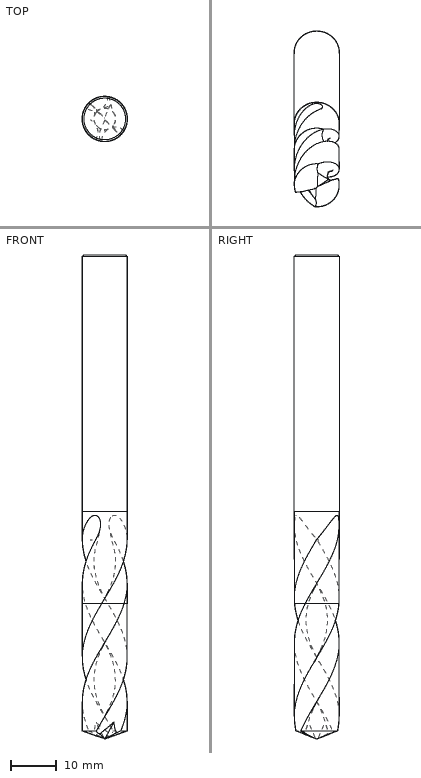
import cadquery as cq
import math

total_length = 106.0
shank_diameter = 10.0
shank_radius = shank_diameter / 2
shank_chamfer = 0.4
shank_end_z = 49.8

drill_diameter = 9.9
drill_radius = drill_diameter / 2
joint_z = 29.7
point_angle = 140.0
point_height = drill_radius / math.tan(math.radians(point_angle / 2))

flute_count = 2
flute_pitch = 51.7
flute_offset = 5.3
flute_radius = 3.0
crossing_z = 13.0
helix_end_z = 43.6
runout_end_z = 49.0
runout_turn = 32.0
start_angle = -360 * crossing_z / flute_pitch

gash_apex = cq.Vector(0, -0.2, 0)
gash_valley = cq.Vector(2.0, -1.6, 3.7)
gash_left_edge = cq.Vector(-1.8, -4.3, 1.8)
gash_right_edge = cq.Vector(3.3, -3.3, 1.8)
gash_underside = cq.Vector(0.7, -4.2, 0)
gash_reach = 1.5


def make_shank():
    """Plain shank with a chamfered top, and the neck below it."""
    neck = (
        cq.Workplane("XY", origin=(0, 0, joint_z))
        .circle(drill_radius)
        .extrude(shank_end_z - joint_z)
    )
    grip = (
        cq.Workplane("XY", origin=(0, 0, shank_end_z))
        .circle(shank_radius)
        .extrude(total_length - shank_end_z)
        .faces(">Z")
        .chamfer(shank_chamfer)
    )
    return neck.union(grip)


def make_head():
    """Cylinder ending in a conical point at the origin."""
    return (
        cq.Workplane("XZ")
        .polyline([(0, 0), (drill_radius, point_height), (drill_radius, joint_z), (0, joint_z)])
        .close()
        .revolve(360, (0, 0, 0), (0, 1, 0))
    )


def make_helix_cutter():
    """Round section, twisted about the drill axis as it rises."""
    return (
        cq.Workplane("XY")
        .moveTo(flute_offset, 0)
        .circle(flute_radius)
        .twistExtrude(helix_end_z, 360 * helix_end_z / flute_pitch)
        .rotate((0, 0, 0), (0, 0, 1), start_angle)
    )


def make_runout_cutter():
    """Slanted cylinder carrying the flute out through the side of the neck."""
    exit_offset = drill_radius + flute_radius
    turn = math.radians(runout_turn)
    exit_x = exit_offset * math.cos(turn)
    exit_y = exit_offset * math.sin(turn)
    return (
        cq.Workplane("XY", origin=(flute_offset, 0, helix_end_z))
        .circle(flute_radius)
        .workplane(offset=runout_end_z - helix_end_z)
        .center(exit_x - flute_offset, exit_y)
        .circle(flute_radius)
        .loft(ruled=True)
        .rotate((0, 0, 0), (0, 0, 1), start_angle + 360 * helix_end_z / flute_pitch)
    )


def make_tetrahedron(corners):
    """Solid with the four given corners."""
    faces = []
    for skipped in range(len(corners)):
        triangle = corners[:skipped] + corners[skipped + 1:]
        faces.append(cq.Face.makeFromWires(cq.Wire.makePolygon(triangle, close=True)))
    return cq.Workplane(cq.Solid.makeSolid(cq.Shell.makeShell(faces)))


def make_gash_cutter():
    """Pyramid with its tip near the drill point, made of two tetrahedra side by side."""
    valley, left_edge, right_edge, underside = [
        gash_apex + ray * gash_reach
        for ray in (gash_valley, gash_left_edge, gash_right_edge, gash_underside)
    ]
    left_half = make_tetrahedron([gash_apex, valley, left_edge, underside])
    right_half = make_tetrahedron([gash_apex, valley, underside, right_edge])
    return left_half.union(right_half)


shank = make_shank()
head = make_head()
helix_cutter = make_helix_cutter()
runout_cutter = make_runout_cutter()
gash_cutter = make_gash_cutter()
for index in range(flute_count):
    turn = 360 * index / flute_count
    helix = helix_cutter.rotate((0, 0, 0), (0, 0, 1), turn)
    runout = runout_cutter.rotate((0, 0, 0), (0, 0, 1), turn)
    gash = gash_cutter.rotate((0, 0, 0), (0, 0, 1), turn)
    head = head.cut(helix).cut(gash)
    shank = shank.cut(helix).cut(runout)

result = cq.Compound.makeCompound([shank.val(), head.val()])